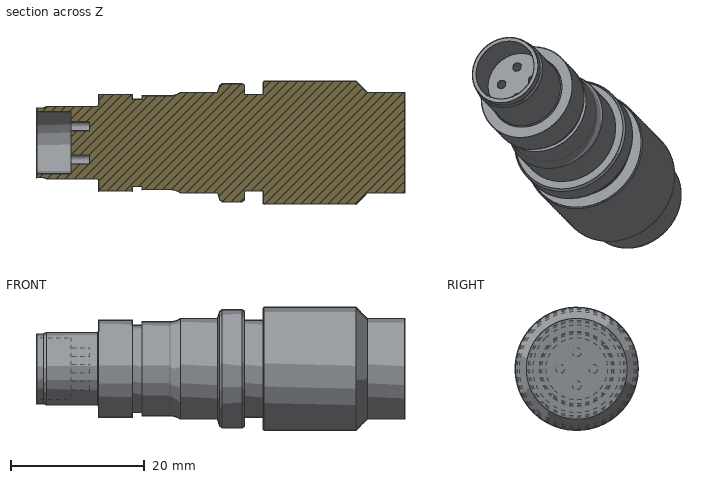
import cadquery as cq
import math

tip_end = 1.05
nose_start = 1.5
collar_start = 9.25
collar_end = 14.3
body_start = 15.75
flare_start = 19.9
flare_end = 21.5
ring_start = 27.0
ring_end = 31.1
sleeve_start = 33.8
taper_start = 47.75
taper_end = 49.4
total_length = 55.0

tip_radius = 5.2
nose_radius = 5.45
collar_radius = 7.25
groove_radius = 6.55
body_radius = 7.05
barrel_radius = 7.55
ring_radius = 8.85
neck_radius = collar_radius
sleeve_radius = 18.4 / 2
tail_radius = barrel_radius

nose_root_chamfer = 0.15
ring_cone_length = 0.35
ring_chamfer_length = 0.4
ring_chamfer_depth = 0.3
sleeve_chamfer = 0.15

bore_radius = 4.6
bore_depth = 5.1
contact_count = 4
contact_radius = 0.65
contact_circle_radius = 2.5
contact_depth = 2.75


def make_shell():
    """Revolve the stepped outer profile about the X axis."""
    flare_length = flare_end - flare_start
    flare_rise = barrel_radius - body_radius
    arc_radius = (flare_length**2 + flare_rise**2) / (2 * flare_rise)
    half_angle = math.asin(flare_length / arc_radius) / 2
    flare_middle = (
        flare_start + arc_radius * math.sin(half_angle),
        body_radius + arc_radius * (1 - math.cos(half_angle)),
    )
    profile = (
        cq.Workplane("XY")
        .moveTo(0, 0)
        .lineTo(0, tip_radius)
        .lineTo(tip_end, tip_radius)
        .lineTo(nose_start, nose_radius)
        .lineTo(collar_start - nose_root_chamfer, nose_radius)
        .lineTo(collar_start, nose_radius + nose_root_chamfer)
        .lineTo(collar_start, collar_radius)
        .lineTo(collar_end, collar_radius)
        .lineTo(collar_end, groove_radius)
        .lineTo(body_start, groove_radius)
        .lineTo(body_start, body_radius)
        .lineTo(flare_start, body_radius)
        .threePointArc(flare_middle, (flare_end, barrel_radius))
        .lineTo(ring_start, barrel_radius)
        .lineTo(ring_start + ring_cone_length, ring_radius - ring_chamfer_depth)
        .lineTo(ring_start + ring_cone_length + ring_chamfer_length, ring_radius)
        .lineTo(ring_end - ring_chamfer_length, ring_radius)
        .lineTo(ring_end, ring_radius - ring_chamfer_depth)
        .lineTo(ring_end, neck_radius)
        .lineTo(sleeve_start, neck_radius)
        .lineTo(sleeve_start, sleeve_radius - sleeve_chamfer)
        .lineTo(sleeve_start + sleeve_chamfer, sleeve_radius)
        .lineTo(taper_start, sleeve_radius)
        .lineTo(taper_end, tail_radius)
        .lineTo(total_length, tail_radius)
        .lineTo(total_length, 0)
        .close()
    )
    return profile.revolve(360, (0, 0, 0), (1, 0, 0))


def make_bore():
    """Socket opening at the mating end."""
    return cq.Workplane("YZ").circle(bore_radius).extrude(bore_depth)


def make_contact_holes():
    """Ring of blind contact holes in the socket floor."""
    return (
        cq.Workplane("YZ", origin=(bore_depth, 0, 0))
        .polarArray(contact_circle_radius, 0, 360, contact_count)
        .circle(contact_radius)
        .extrude(contact_depth)
    )


result = make_shell().cut(make_bore()).cut(make_contact_holes())